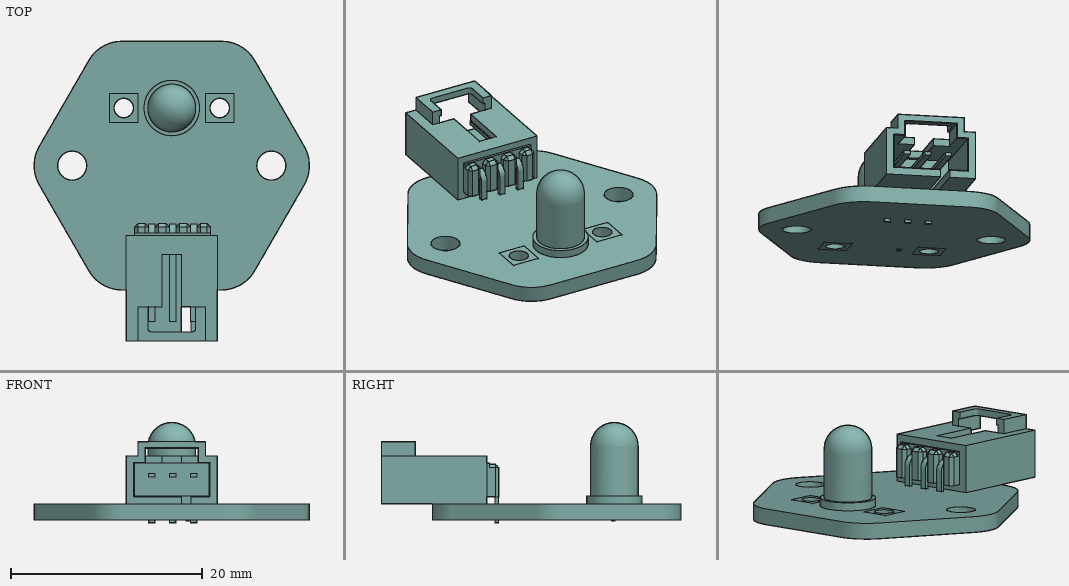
import cadquery as cq
import math


board_sides = 6
board_flats = 25.98
board_corner_radius = 4.0
board_thickness = 1.7
screw_hole_diameter = 3.0
screw_hole_spacing = 20.78

led_y = 6.0
led_diameter = 5.0
led_flange_diameter = 5.8
led_flange_height = 0.85
led_height = 8.5
lead_length_x = 0.5
lead_width_y = 0.38
lead_x = 1.75
lead_y = 5.9
lead_protrusion = 0.1
lead_tip_z = -board_thickness - lead_protrusion
pad_size = 3.0
pad_hole_diameter = 2.0
pad_spacing = 10.02
pad_xs = [-pad_spacing / 2, pad_spacing / 2]

housing_width = 9.5
housing_length = 11.02
housing_height = 5.0
mouth_y = -18.3
rear_y = mouth_y + housing_length

key_width = 7.07
key_height = 6.5
key_length = 3.57
key_rear_y = mouth_y + key_length
window_width = 5.0
window_radius = 0.38
window_front_wall = 0.97
window_front_y = mouth_y + window_front_wall

cavity_width = 7.82
cavity_floor_z = 0.85
cavity_roof_z = 4.25
cavity_end_y = -8.67
key_cavity_width = 5.45
key_cavity_roof_z = 5.8
mouth_chamfer = 0.1

roof_slot_width = 2.0
slot_end_y = -9.3
floor_slot_width = 1.0
floor_slot_x = roof_slot_width / 2 + floor_slot_width / 2

pin_count = 3
pin_pitch = 2.2
pin_middle_x = 0.1
pin_width = 0.65
pin_thickness = 0.38
pin_axis_z = 3.0
pin_tip_y = -16.25
pin_rear_y = -6.07
pin_protrusion = 0.28
pin_bottom_z = -board_thickness - pin_protrusion
pin_outer_radius = 1.13
pin_inner_radius = pin_outer_radius - pin_thickness
pin_xs = [pin_middle_x + (i - (pin_count - 1) / 2) * pin_pitch for i in range(pin_count)]

plate_width = 7.95
plate_bottom_z = 0.75
plate_top_z = 4.25
plate_rear_y = -7.0
guide_rear_y = -6.05
guide_top_z = 4.15
guide_chamfer = 0.38


def block(x_range, y_range, z_range):
    """Box between the given limits along each axis."""
    size = [high - low for low, high in (x_range, y_range, z_range)]
    return cq.Workplane("XY").box(*size, centered=False).translate((x_range[0], y_range[0], z_range[0]))


def centred_block(width, y_range, z_range, x=0):
    """Box of the given width along X, centred on x."""
    return block((x - width / 2, x + width / 2), y_range, z_range)


def make_lead():
    """Rectangular lead from the LED's base to just below the board."""
    y_range = (lead_y - lead_width_y / 2, lead_y + lead_width_y / 2)
    return centred_block(lead_length_x, y_range, (lead_tip_z, 0), lead_x)


def make_led():
    """Flanged, domed cylinder with its lead."""
    radius = led_diameter / 2
    flange_radius = led_flange_diameter / 2
    shoulder_z = led_height - radius
    arc_middle = radius * math.sqrt(0.5)
    lens = (
        cq.Workplane("XZ")
        .lineTo(flange_radius, 0)
        .lineTo(flange_radius, led_flange_height)
        .lineTo(radius, led_flange_height)
        .lineTo(radius, shoulder_z)
        .threePointArc((arc_middle, shoulder_z + arc_middle), (0, led_height))
        .close()
        .revolve(360, (0, 0), (0, 1))
        .translate((0, led_y, 0))
    )
    return lens.union(make_lead())


def make_pad(x):
    """Plated square flush with both faces of the board."""
    return (
        cq.Workplane("XY", origin=(x, led_y, 0))
        .rect(pad_size, pad_size)
        .circle(pad_hole_diameter / 2)
        .extrude(-board_thickness)
    )


def make_pin(x):
    """Strip that runs along +Y from its tip, bends and goes down through the board."""
    top_z = pin_axis_z + pin_thickness / 2
    bottom_z = pin_axis_z - pin_thickness / 2
    front_y = pin_rear_y - pin_thickness
    bend_y = pin_rear_y - pin_outer_radius
    bend_z = top_z - pin_outer_radius
    outer_middle = pin_outer_radius * math.sqrt(0.5)
    inner_middle = pin_inner_radius * math.sqrt(0.5)
    return (
        cq.Workplane("YZ", origin=(x, 0, 0))
        .moveTo(pin_tip_y, bottom_z)
        .lineTo(pin_tip_y, top_z)
        .lineTo(bend_y, top_z)
        .threePointArc((bend_y + outer_middle, bend_z + outer_middle), (pin_rear_y, bend_z))
        .lineTo(pin_rear_y, pin_bottom_z)
        .lineTo(front_y, pin_bottom_z)
        .lineTo(front_y, bend_z)
        .threePointArc((bend_y + inner_middle, bend_z + inner_middle), (bend_y, bottom_z))
        .close()
        .extrude(pin_width / 2, both=True)
    )


def make_board():
    """Hexagon with screw holes and openings for the pads, the pins and the lead."""
    corner_diameter = board_flats / math.cos(math.pi / board_sides)
    board = (
        cq.Workplane("XY")
        .polygon(board_sides, corner_diameter)
        .extrude(-board_thickness)
        .edges("|Z")
        .fillet(board_corner_radius)
        .faces(">Z")
        .workplane(origin=(0, 0, 0))
        .pushPoints([(-screw_hole_spacing / 2, 0), (screw_hole_spacing / 2, 0)])
        .hole(screw_hole_diameter)
    )
    for x in pad_xs:
        pad_y_range = (led_y - pad_size / 2, led_y + pad_size / 2)
        board = board.cut(centred_block(pad_size, pad_y_range, (-board_thickness, 0), x))
    for x in pin_xs:
        board = board.cut(make_pin(x))
    return board.cut(make_lead())


def make_guides():
    """Guides that fill the rear plate's width except for one pin-wide gap at each pin."""
    left_edges = [pin_middle_x - plate_width / 2] + [x + pin_width / 2 for x in pin_xs]
    right_edges = [x - pin_width / 2 for x in pin_xs] + [pin_middle_x + plate_width / 2]
    guides = []
    for left, right in zip(left_edges, right_edges):
        guide = block((left, right), (plate_rear_y, guide_rear_y), (plate_bottom_z, guide_top_z))
        top_edges = guide.faces(">Z").edges("not <Y")
        upright_edges = guide.faces(">Y").edges("|Z")
        guides.append(guide.newObject(top_edges.vals() + upright_edges.vals()).chamfer(guide_chamfer))
    return guides


def cut_mouth(housing):
    """Cavity stepped up under the key, with a chamfered rim at the mouth."""
    key_cavity = centred_block(
        key_cavity_width, (mouth_y, key_rear_y), (cavity_floor_z, key_cavity_roof_z)
    )
    main_cavity = centred_block(cavity_width, (mouth_y, cavity_end_y), (cavity_floor_z, cavity_roof_z))
    rim = (
        cq.Workplane("XZ", origin=(0, mouth_y + mouth_chamfer, 0))
        .moveTo(-cavity_width / 2, cavity_floor_z)
        .lineTo(-cavity_width / 2, cavity_roof_z)
        .lineTo(-key_cavity_width / 2, cavity_roof_z)
        .lineTo(-key_cavity_width / 2, key_cavity_roof_z)
        .lineTo(key_cavity_width / 2, key_cavity_roof_z)
        .lineTo(key_cavity_width / 2, cavity_roof_z)
        .lineTo(cavity_width / 2, cavity_roof_z)
        .lineTo(cavity_width / 2, cavity_floor_z)
        .close()
        .extrude(mouth_chamfer, taper=-45)
    )
    return housing.cut(main_cavity).cut(key_cavity).cut(rim)


def cut_window_and_slots(housing):
    """Window in the key's roof, with slots in the roof and the floor that run back to one line."""
    window = (
        centred_block(window_width, (window_front_y, key_rear_y), (housing_height, key_height))
        .edges("|Z and <Y")
        .fillet(window_radius)
    )
    roof_slot = centred_block(roof_slot_width, (key_rear_y, slot_end_y), (cavity_roof_z, housing_height))
    floor_slot = centred_block(
        floor_slot_width, (mouth_y, slot_end_y), (0, cavity_floor_z), floor_slot_x
    )
    return housing.cut(window).cut(roof_slot).cut(floor_slot)


def make_housing():
    """Open-mouthed shell with the rear plate and guides that carry the pins."""
    housing = centred_block(housing_width, (mouth_y, rear_y), (0, housing_height))
    housing = housing.union(centred_block(key_width, (mouth_y, key_rear_y), (0, key_height)))
    housing = cut_window_and_slots(cut_mouth(housing))
    housing = housing.union(
        centred_block(plate_width, (rear_y, plate_rear_y), (plate_bottom_z, plate_top_z), pin_middle_x)
    )
    for guide in make_guides():
        housing = housing.union(guide)
    for x in pin_xs:
        housing = housing.cut(make_pin(x))
    return housing


board = make_board()
led = make_led()
housing = make_housing()
pads = [make_pad(x) for x in pad_xs]
pins = [make_pin(x) for x in pin_xs]

result = cq.Compound.makeCompound(
    [board.val(), led.val(), housing.val()]
    + [pad.val() for pad in pads]
    + [pin.val() for pin in pins]
)